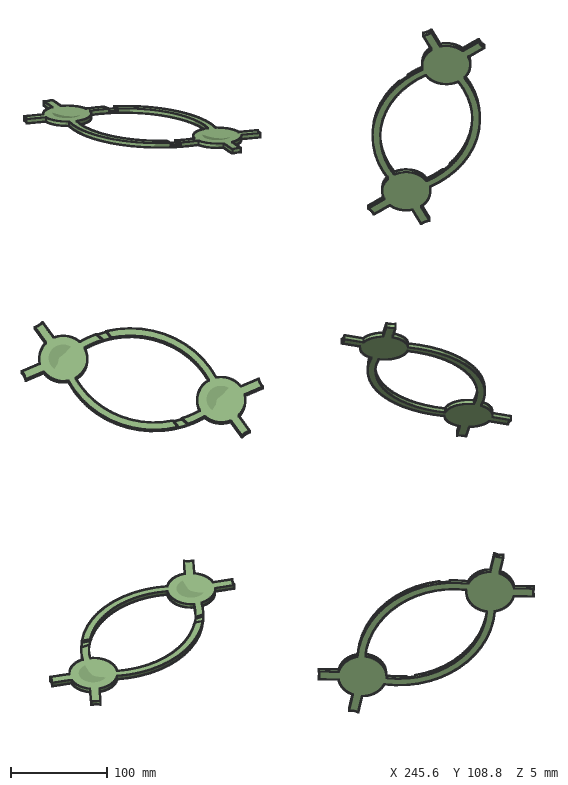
import cadquery as cq
import math

THICKNESS = 5.0
OVERALL_LENGTH = 245.6
OVERALL_WIDTH = 108.8

DISC_OFFSET = 85.0
DISC_RADIUS = 25.0
DISH_RADIUS = 15.0
DISH_DEPTH = 2.5

BAR_OUTER_RADIUS = 100.0
BAR_WIDTH = 8.0
BAR_INNER_RADIUS = BAR_OUTER_RADIUS - BAR_WIDTH
BAR_CENTER_Y = OVERALL_WIDTH / 2 - BAR_OUTER_RADIUS

SPOKE_ANGLE = 40.0
SPOKE_WIDTH = 9.8
SPOKE_END_RADIUS = 15.0
SPOKE_CORNER_REACH = (
    OVERALL_LENGTH / 2 - DISC_OFFSET - SPOKE_WIDTH / 2 * math.sin(math.radians(SPOKE_ANGLE))
) / math.cos(math.radians(SPOKE_ANGLE))

NOTCH_START_ANGLE = 26.0
NOTCH_END_ANGLE = 36.7
NOTCH_APEX_X = 10.5
NOTCH_APEX_Y = -11.3
NOTCH_DEPTH = THICKNESS / 2
NOTCH_REACH = 98.3


def curved_bar(side):
    """Arc-shaped bar between disc centers, on the +Y (side=1) or -Y (side=-1) half."""
    ring = (
        cq.Workplane("XY")
        .center(0, side * BAR_CENTER_Y)
        .circle(BAR_OUTER_RADIUS)
        .circle(BAR_INNER_RADIUS)
        .extrude(THICKNESS)
    )
    half_plane = (
        cq.Workplane("XY")
        .center(0, side * OVERALL_WIDTH / 2)
        .rect(2 * DISC_OFFSET, OVERALL_WIDTH)
        .extrude(THICKNESS)
    )
    return ring.intersect(half_plane)


def spoke(end, angle):
    """Spoke running outward from the disc at X = end * DISC_OFFSET."""
    half_width = SPOKE_WIDTH / 2
    sagitta = SPOKE_END_RADIUS - math.sqrt(SPOKE_END_RADIUS**2 - half_width**2)
    return (
        cq.Workplane("XY")
        .moveTo(0, -half_width)
        .lineTo(SPOKE_CORNER_REACH, -half_width)
        .threePointArc((SPOKE_CORNER_REACH - sagitta, 0), (SPOKE_CORNER_REACH, half_width))
        .lineTo(0, half_width)
        .close()
        .extrude(THICKNESS)
        .rotate((0, 0, 0), (0, 0, 1), angle)
        .translate((end * DISC_OFFSET, 0, 0))
    )


def dish_cutter(end):
    """Sphere whose lower cap forms the shallow dish in the top of a disc."""
    sphere_radius = (DISH_RADIUS**2 + DISH_DEPTH**2) / (2 * DISH_DEPTH)
    center_z = THICKNESS - DISH_DEPTH + sphere_radius
    return cq.Workplane("XY").sphere(sphere_radius).translate((end * DISC_OFFSET, 0, center_z))


def notch_cutter(turn):
    """Wedge opening toward (+X, -Y), turned about the part center."""
    corners = [(NOTCH_APEX_X, NOTCH_APEX_Y)]
    for angle in (NOTCH_START_ANGLE, NOTCH_END_ANGLE):
        direction = math.radians(angle)
        corners.append(
            (
                NOTCH_APEX_X + NOTCH_REACH * math.cos(direction),
                NOTCH_APEX_Y - NOTCH_REACH * math.sin(direction),
            )
        )
    return (
        cq.Workplane("XY")
        .workplane(offset=THICKNESS - NOTCH_DEPTH)
        .polyline(corners)
        .close()
        .extrude(NOTCH_DEPTH)
        .rotate((0, 0, 0), (0, 0, 1), turn)
    )


bars = curved_bar(1).union(curved_bar(-1))
for turn in (0, 180):
    bars = bars.cut(notch_cutter(turn))

result = bars
for end in (1, -1):
    disc = cq.Workplane("XY").center(end * DISC_OFFSET, 0).circle(DISC_RADIUS).extrude(THICKNESS)
    result = result.union(disc)
    outward_angle = 0 if end > 0 else 180
    for tilt in (SPOKE_ANGLE, -SPOKE_ANGLE):
        result = result.union(spoke(end, outward_angle + tilt))

for end in (1, -1):
    result = result.cut(dish_cutter(end))